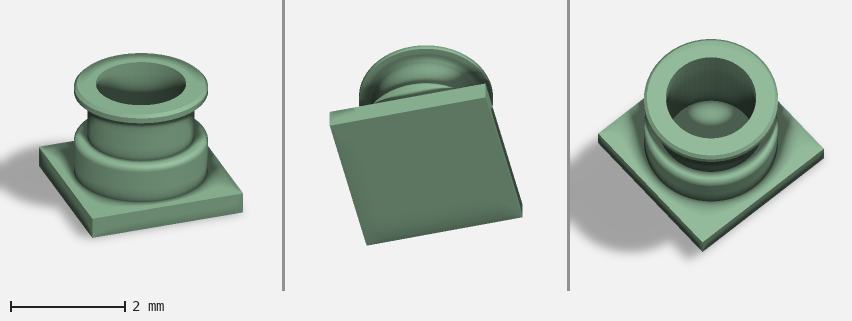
import cadquery as cq

plate_side = 2.8
plate_thickness = 0.38

total_height = 2.1
collar_diameter = 2.35
collar_top = 1.075
collar_rounding = 0.105
neck_diameter = 1.88
neck_fillet = 0.095
flange_diameter = collar_diameter
flange_thickness = 0.15
flange_chamfer = 0.053

bore_diameter = 1.58
bore_depth = total_height - plate_thickness


def cylinder(diameter, bottom, top):
    """Cylinder on the Z axis between two heights."""
    return cq.Workplane("XY").workplane(offset=bottom).circle(diameter / 2).extrude(top - bottom)


plate = cq.Workplane("XY").rect(plate_side, plate_side).extrude(plate_thickness)

collar = cylinder(collar_diameter, plate_thickness, collar_top).faces(">Z").edges().fillet(collar_rounding)

flange_bottom = total_height - flange_thickness
neck = cylinder(neck_diameter, collar_top, flange_bottom)
flange = cylinder(flange_diameter, flange_bottom, total_height).faces(">Z").edges().chamfer(flange_chamfer)

spool = neck.union(flange)
box_half_side = (neck_diameter + flange_diameter) / 4
corner_edge = cq.selectors.BoxSelector(
    (-box_half_side, -box_half_side, flange_bottom - neck_fillet),
    (box_half_side, box_half_side, flange_bottom + flange_thickness / 2),
    boundingbox=True,
)
spool = spool.edges(corner_edge).fillet(neck_fillet)

bore = cylinder(bore_diameter, total_height - bore_depth, total_height)

result = plate.union(collar).union(spool).cut(bore)